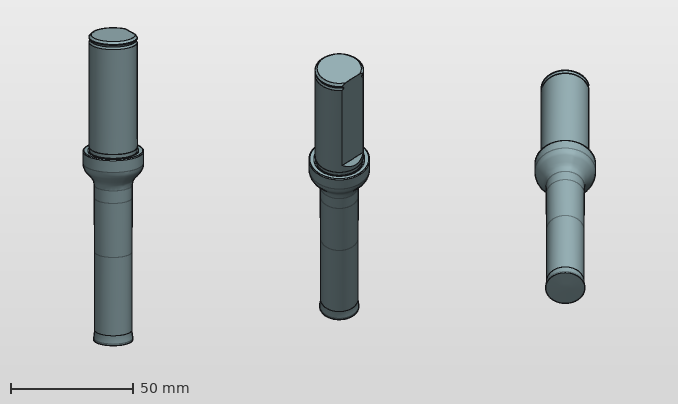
import cadquery as cq
import math

total_length = 132.0
shank_radius = 19.9 / 2
collar_radius = 25.0 / 2
neck_radius = 15.7 / 2
stem_radius = 15.5 / 2
undercut_radius = 19.5 / 2
head_radius = 8.0

top_chamfer = 0.9
lip_height = 0.4
groove_depth = 0.5
groove_half_height = 0.9

collar_top = 82.1
collar_height = 5.4
collar_chamfer = 0.4
undercut_height = 1.3
relief_radius = 10.4
relief_depth = 0.3
undercut_chamfer = shank_radius - undercut_radius

flank_height = 9.5

neck_length = 5.4
taper_end = 38.4

head_top = 4.6
head_rim_top = 1.2
head_rim_bottom = 0.4

flat_offset = 8.0
flat_end = 87.4


def polar_point(center, radius, angle):
    """Point (r, z) at the given distance and angle from an arc centre in the profile."""
    return (center[0] + radius * math.cos(angle), center[1] + radius * math.sin(angle))


def make_body_blank():
    """Revolve the shank, collar, flank, neck and stem."""
    lip_top = total_length - top_chamfer
    lip_bottom = lip_top - lip_height
    groove_bottom = lip_bottom - 2 * groove_half_height
    shank_bottom = collar_top + undercut_height + undercut_chamfer
    collar_bottom = collar_top - collar_height

    neck_top = collar_bottom - flank_height
    neck_bottom = neck_top - neck_length
    axial_tangents = [(0, -1), (0, -1)]

    return (
        cq.Workplane("XZ")
        .moveTo(0, total_length)
        .lineTo(shank_radius - top_chamfer, total_length)
        .lineTo(shank_radius, lip_top)
        .lineTo(shank_radius, lip_bottom)
        .lineTo(shank_radius - groove_depth, lip_bottom - groove_half_height)
        .lineTo(shank_radius, groove_bottom)
        .lineTo(shank_radius, shank_bottom)
        .lineTo(undercut_radius, collar_top + undercut_height)
        .lineTo(undercut_radius, collar_top - relief_depth)
        .lineTo(relief_radius, collar_top - relief_depth)
        .lineTo(relief_radius, collar_top)
        .lineTo(collar_radius - collar_chamfer, collar_top)
        .lineTo(collar_radius, collar_top - collar_chamfer)
        .lineTo(collar_radius, collar_bottom)
        .spline([(neck_radius, neck_top)], tangents=axial_tangents, includeCurrent=True)
        .lineTo(neck_radius, neck_bottom)
        .spline([(stem_radius, taper_end)], tangents=axial_tangents, includeCurrent=True)
        .lineTo(stem_radius, head_top)
        .lineTo(0, head_top)
        .close()
        .revolve(360, (0, 0, 0), (0, 1, 0))
    )


def make_flat_cutter():
    """Prism that cuts the shank flat, with a 45 degree run-out at its lower end."""
    reach = collar_radius - flat_offset
    return (
        cq.Workplane("YZ")
        .moveTo(flat_offset, total_length)
        .lineTo(flat_offset, flat_end)
        .lineTo(flat_offset + reach, flat_end - reach)
        .lineTo(flat_offset + reach, total_length)
        .close()
        .extrude(collar_radius, both=True)
    )


def make_cutting_head():
    """Revolve the flared cutting head, which ends in a very shallow point."""
    flare_height = head_top - head_rim_top
    flare_width = head_radius - stem_radius
    flare_arc_radius = (flare_height**2 + flare_width**2) / (2 * flare_width)
    flare_angle = math.asin(flare_height / flare_arc_radius)
    flare_center = (stem_radius + flare_arc_radius, head_top)
    flare_mid = polar_point(flare_center, flare_arc_radius, math.pi + flare_angle / 2)
    return (
        cq.Workplane("XZ")
        .moveTo(0, head_top)
        .lineTo(stem_radius, head_top)
        .threePointArc(flare_mid, (head_radius, head_rim_top))
        .lineTo(head_radius, head_rim_bottom)
        .lineTo(0, 0)
        .close()
        .revolve(360, (0, 0, 0), (0, 1, 0))
    )


body = make_body_blank().cut(make_flat_cutter())
cutting_head = make_cutting_head()

result = cq.Compound.makeCompound([body.val(), cutting_head.val()])